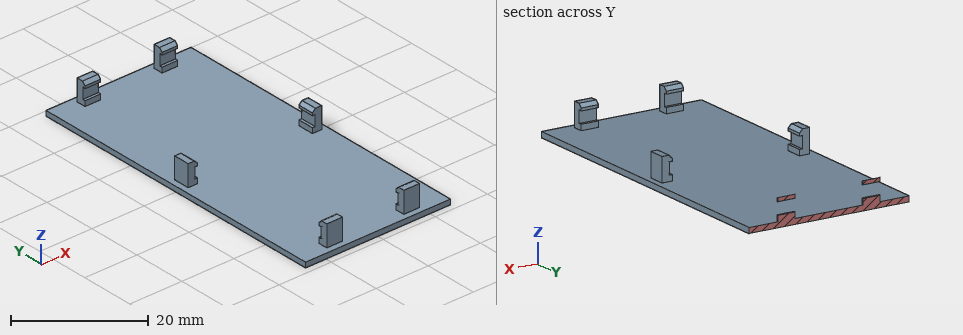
import cadquery as cq

plate_width = 27.8
plate_length = 57.7
plate_thickness = 1.0

overall_height = 5.0
clip_width = 3.0
clip_depth = 1.8
clip_margin = 1.1
end_clip_offset = 7.4
web_depth = 1.25
foot_height = 1.0
hook_underside = 3.0
hook_chamfer = 0.6

clip_height = overall_height - plate_thickness


def make_clip():
    """Clip with its back at X = 0, its hook toward +X and its foot at Z = 0."""
    profile = [
        (0, 0),
        (clip_depth, 0),
        (clip_depth, foot_height),
        (web_depth, foot_height),
        (web_depth, hook_underside),
        (clip_depth, hook_underside),
        (clip_depth, clip_height - hook_chamfer),
        (clip_depth - hook_chamfer, clip_height),
        (0, clip_height),
    ]
    return cq.Workplane("XZ").polyline(profile).close().extrude(clip_width / 2, both=True)


def edge_clip(edge_distance, along_edge, turn):
    """Place a clip facing inward from the -X edge, then turn it about the plate centre."""
    clip = make_clip().translate((clip_margin - edge_distance, along_edge, plate_thickness))
    return clip.rotate((0, 0, 0), (0, 0, 1), turn)


result = cq.Workplane("XY").box(
    plate_width, plate_length, plate_thickness, centered=(True, True, False)
)

for turn in (0, 180):
    result = result.union(edge_clip(plate_width / 2, 0, turn))

for turn in (90, 270):
    for offset in (-end_clip_offset, end_clip_offset):
        result = result.union(edge_clip(plate_length / 2, offset, turn))